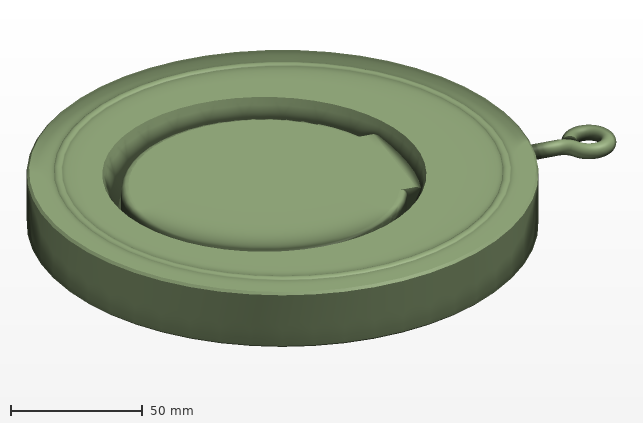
import cadquery as cq
import math

body_diameter = 194.5
body_thickness = 23.7
body_chamfer = 1.0

overall_thickness = 24.9
seal_cord_diameter = 5.0
seal_centre_radius = 85.3

bore_centre_y = -7.5
bore_rim_radius = 61.5
bore_floor_radius = 55.5
bore_depth = 15.0

flap_radius = 54.5
flap_edge_round = 2.8
flap_recess = 4.5

tab_width = 45.0
tab_edge_y = 45.8
tab_slope_angle = 25

rod_diameter = 6.0
eye_bend_radius = 7.5
eye_sweep_angle = 315
neck_bend_angle = 60
overall_length = 232.5

body_radius = body_diameter / 2
body_top = body_thickness / 2
bore_floor = body_top - bore_depth
flap_top = body_top - flap_recess
bore_far_y = bore_centre_y + bore_rim_radius
shank_root_y = (bore_far_y + body_radius) / 2
eye_tip_y = overall_length - body_radius
eye_centre_y = eye_tip_y - eye_bend_radius - rod_diameter / 2
neck_start_y = eye_centre_y - 2 * eye_bend_radius * math.sin(math.radians(neck_bend_angle))


def make_body():
    return (
        cq.Workplane("XY")
        .cylinder(body_thickness, body_radius)
        .edges("%CIRCLE")
        .chamfer(body_chamfer)
    )


def make_seal(side):
    """Round seal cord; side is +1 for the top face and -1 for the bottom face."""
    cord_radius = seal_cord_diameter / 2
    cord_height = side * (overall_thickness / 2 - cord_radius)
    return cq.Workplane("XY").add(
        cq.Solid.makeTorus(seal_centre_radius, cord_radius, cq.Vector(0, 0, cord_height), cq.Vector(0, 0, 1))
    )


def make_bore():
    return cq.Workplane("XY").add(
        cq.Solid.makeCone(
            bore_floor_radius,
            bore_rim_radius,
            bore_depth,
            cq.Vector(0, bore_centre_y, bore_floor),
            cq.Vector(0, 0, 1),
        )
    )


def make_flap():
    return (
        cq.Workplane("XY", origin=(0, bore_centre_y, bore_floor))
        .circle(flap_radius)
        .extrude(flap_top - bore_floor)
        .faces(">Z")
        .edges()
        .fillet(flap_edge_round)
    )


def make_tab():
    """Block from the flap centre into the body, topped by a flat and a downward slope."""
    slope_drop = (bore_far_y - tab_edge_y) * math.tan(math.radians(tab_slope_angle))
    return (
        cq.Workplane("YZ")
        .moveTo(bore_centre_y, bore_floor)
        .lineTo(bore_centre_y, flap_top)
        .lineTo(tab_edge_y, flap_top)
        .lineTo(bore_far_y, flap_top - slope_drop)
        .lineTo(bore_far_y, bore_floor)
        .close()
        .extrude(tab_width / 2, both=True)
    )


def make_eye_bolt():
    """Straight shank, reverse-bent neck and open ring, all from one round rod."""
    rod_radius = rod_diameter / 2
    shank = (
        cq.Workplane("XZ", origin=(0, shank_root_y, 0))
        .circle(rod_radius)
        .extrude(shank_root_y - neck_start_y)
    )
    neck = (
        cq.Workplane("XZ", origin=(0, neck_start_y, 0))
        .circle(rod_radius)
        .revolve(neck_bend_angle, (eye_bend_radius, 2.3, 0), (eye_bend_radius, 0, 0))
    )
    ring = (
        cq.Workplane("XZ", origin=(0, eye_centre_y, 0))
        .center(eye_bend_radius, 0)
        .circle(rod_radius)
        .revolve(eye_sweep_angle, (-eye_bend_radius, 0, 0), (-eye_bend_radius, 1, 0))
        .rotate((0, eye_centre_y, 0), (0, eye_centre_y, 1), -neck_bend_angle)
    )
    return shank.union(neck).union(ring)


result = (
    make_body()
    .cut(make_bore())
    .union(make_flap())
    .union(make_tab())
    .union(make_seal(1))
    .union(make_seal(-1))
    .union(make_eye_bolt())
    .clean()
)